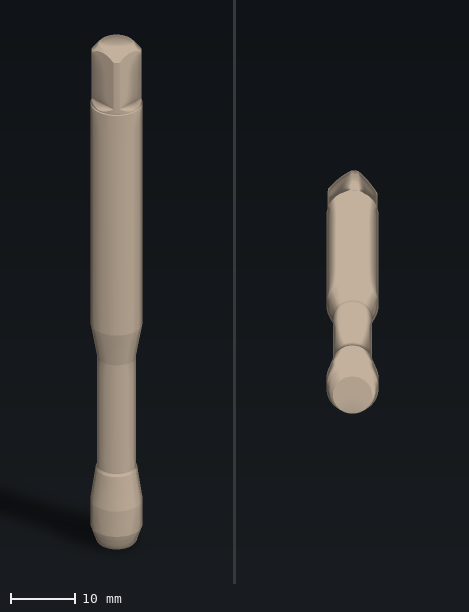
import cadquery as cq

length = 90.1
shank_radius = 8.1 / 2
neck_radius = 6.0 / 2

tip_radius = 3.1
tip_edge_radius = 3.2
tip_edge_height = 0.4
lead_height = 2.9
head_cylinder_top = 7.5
head_shoulder_height = 13.2
head_shoulder_radius = 3.2
head_top = 13.7

neck_top = 33.4
shank_taper_bottom = 33.7
shank_taper_bottom_radius = 3.1
shank_taper_top = 39.5

drive_radius = 7.75 / 2
drive_width = 6.1
drive_length = 9.6
drive_top_radius = 2.7
shank_top = length - 10.7
shank_ledge_height = 0.1
flat_bottom = length - drive_length


def revolve_profile(points):
    """Turn a closed (radius, height) outline around the Z axis."""
    return cq.Workplane("XZ").polyline(points).close().revolve(360, (0, 0), (0, 1))


def make_head():
    """Threading head: tapered lead, full-diameter barrel and cone up to the neck."""
    return revolve_profile([
        (0, 0),
        (tip_radius, 0),
        (tip_edge_radius, tip_edge_height),
        (shank_radius, lead_height),
        (shank_radius, head_cylinder_top),
        (head_shoulder_radius, head_shoulder_height),
        (neck_radius, head_top),
        (0, head_top),
    ])


def make_flat_cutter():
    """Cutter for the +X drive flat, with a 45 degree runout at its lower end."""
    flat_offset = drive_width / 2
    runout = shank_radius - flat_offset
    return (
        cq.Workplane("XZ")
        .moveTo(flat_offset, length)
        .lineTo(flat_offset, flat_bottom)
        .lineTo(shank_radius, flat_bottom - runout)
        .lineTo(shank_radius, length)
        .close()
        .extrude(shank_radius, both=True)
    )


def make_shank():
    """Neck, taper and shank turned as one piece, with a square drive cut at the top."""
    drive_chamfer = drive_radius - drive_top_radius
    shank = revolve_profile([
        (0, head_top),
        (neck_radius, head_top),
        (neck_radius, neck_top),
        (shank_taper_bottom_radius, shank_taper_bottom),
        (shank_radius, shank_taper_top),
        (shank_radius, shank_top),
        (drive_radius, shank_top + shank_ledge_height),
        (drive_radius, length - drive_chamfer),
        (drive_top_radius, length),
        (0, length),
    ])
    for angle in (0, 90, 180, 270):
        shank = shank.cut(make_flat_cutter().rotate((0, 0, 0), (0, 0, 1), angle))
    return shank


head = make_head()
shank = make_shank()
result = cq.Compound.makeCompound([head.val(), shank.val()])